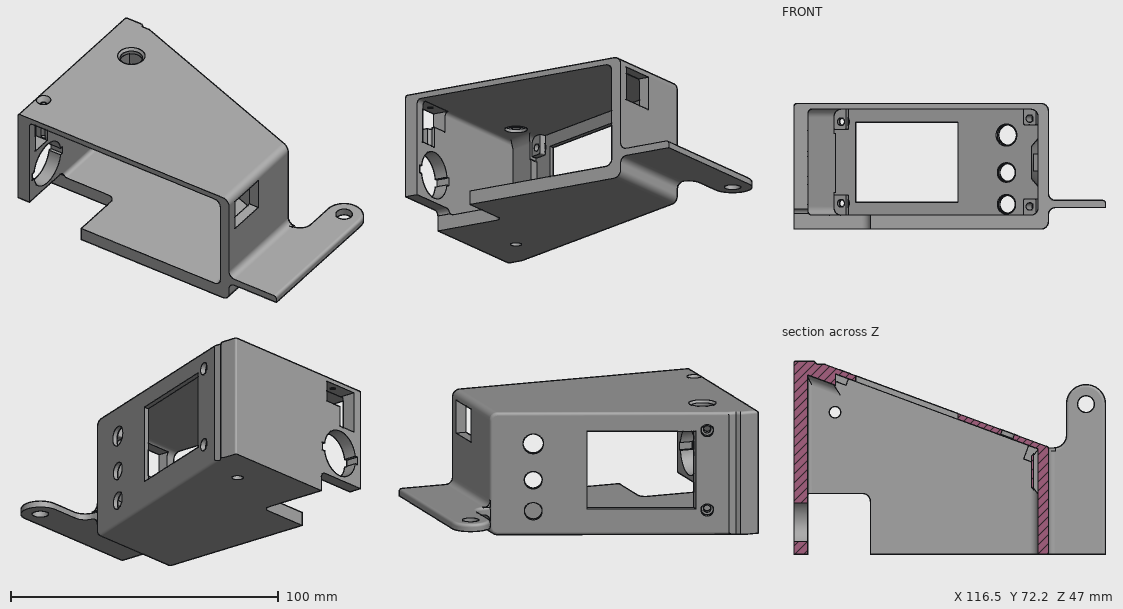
import cadquery as cq
import math

overlap = 1.2

length = 116.5
depth = 72.2
height = 47.0
body_length = 95.1

left_wall = 5.2
right_wall = 4.0
floor = 5.2
roof = 2.2
inner_right = body_length - right_wall
inner_top = height - roof

slope = 20.3
slope_start_x = 11.6
slope_start_y = 71.0
back_land_end = 7.5
back_step_end = 8.7
plate_thickness = 2.1
ledge_thickness = 6.0
sin_slope = math.sin(math.radians(slope))
cos_slope = math.cos(math.radians(slope))
tan_slope = math.tan(math.radians(slope))

edge_radius = 1.2
side_radius = 2.9
back_corner_radius = 0.7
inner_left_radius = 1.6
inner_right_radius = 2.7
ledge_fillet = 3.1

pocket_left = 15.0
pocket_rib_right = 15.6
pocket_rib_bottom, pocket_rib_top = 13.7, 35.8

window_left, window_right = 23.2, 61.3
window_bottom, window_top = 10.1, 40.0

lug_bottom = 8.0
lug_thickness = 2.8
lug_width = 14.7
lug_center_y = 56.1
lug_hole = 6.2
lug_root_radius = 2.6
lug_notch_radius = 4.7
lug_notch_y = 39.8

corner_cut_x = 28.5
corner_cut_y = 22.7
corner_cut_z = 7.6
corner_cut_floor_radius = 2.9
corner_cut_wall_radius = 2.0

switch_front, switch_back = 4.0, 19.6
switch_step_y = 12.0
switch_bottom, switch_step_z = 29.1, 36.9
access_bottom, access_top = 31.2, 43.9

socket_y, socket_z = 12.0, 18.2
socket_diameter = 17.9
keyway_span = 20.1
keyway_height = 3.0

screw_x, screw_y = 3.3, 12.3
screw_hole = 2.1
screw_head = 5.5
screw_bottom = 29.6

bolt_x, bolt_y = 15.4, 53.1
bolt_hole = 4.2
driver_hole = 8.4
driver_chamfer = 0.9

control_x = 79.4
controls = [(35.2, 7.6), (21.2, 6.6), (9.3, 6.6)]
control_chamfer = 0.3

standoff_corner_radius = 0.5
standoff_hole = 2.8
left_standoff_height = 2.6
left_standoff_right = 20.4
left_standoff_spans = [(floor - overlap, 12.8), (37.3, inner_top + overlap)]
left_hole_x = 17.6
left_hole_z = [9.7, 40.2]
left_counterbore = 4.7
right_standoff_height = 5.4
right_standoff_left = 87.7
right_standoff_spans = [(floor - overlap, 11.3), (39.0, inner_top + overlap)]
right_hole_x = 88.0
right_hole_z = [8.5, 41.3]
right_hole_depth = 6.5

anchor_y, anchor_z = 30.9, 24.9
anchor_base_radius = 8.9
anchor_top_radius = 6.0
anchor_height = 2.5
tie_slot_depth = 1.6
tie_slot_width = 6.4


def box(x0, x1, y0, y1, z0, z1):
    return cq.Workplane("XY").box(x1 - x0, y1 - y0, z1 - z0, centered=False).translate((x0, y0, z0))


def slope_y(x, inset=0.0):
    """Y of the sloped outer face at x, or of a parallel face the given distance inside it."""
    return slope_start_y - (x - slope_start_x) * tan_slope - inset / cos_slope


def plate_plane(x, z, inset):
    """Plane on a face parallel to the back; its normal points into the housing, its y axis up."""
    return cq.Plane(
        origin=(x, slope_y(x, inset), z),
        xDir=(cos_slope, -sin_slope, 0),
        normal=(-sin_slope, -cos_slope, 0),
    )


def outer_body():
    outline = (
        cq.Workplane("XY")
        .moveTo(0, 0)
        .lineTo(body_length, 0)
        .lineTo(body_length, slope_y(body_length))
        .lineTo(slope_start_x, slope_start_y)
        .lineTo(back_step_end, slope_start_y)
        .lineTo(back_land_end, depth)
        .lineTo(0, depth)
        .close()
    )
    body = outline.extrude(height)
    body = body.edges("|Z and <X and >Y").fillet(back_corner_radius)
    body = body.edges("|Y and >X").fillet(side_radius)
    return body.faces(">Z").edges("not(<Y or >X)").fillet(edge_radius)


def inner_section(left, left_radius):
    """Prism along Y with the rounded inner section of the housing, starting at the given left side."""
    section = box(left, inner_right, -overlap, depth, floor, inner_top)
    section = section.edges("|Y and <X").fillet(left_radius)
    return section.edges("|Y and >X").fillet(inner_right_radius)


def space_before_back(inset):
    """Space between floor and roof, from the open front to the given depth inside the outer back face."""
    return (
        cq.Workplane("XY")
        .workplane(offset=floor)
        .moveTo(-overlap, -2 * overlap)
        .lineTo(length, -2 * overlap)
        .lineTo(length, slope_y(length, inset))
        .lineTo(-overlap, slope_y(-overlap, inset))
        .close()
        .extrude(inner_top - floor)
    )


def cavity():
    main = space_before_back(ledge_thickness)
    back_face = cq.selectors.DirectionMinMaxSelector(cq.Vector(sin_slope, cos_slope, 0))
    main = main.faces(back_face).edges("not |Z").fillet(ledge_fillet)
    main = main.intersect(inner_section(left_wall, inner_left_radius))
    pocket = space_before_back(plate_thickness).intersect(inner_section(pocket_left, inner_right_radius))
    rib = box(0, pocket_rib_right, 0, depth, pocket_rib_bottom, pocket_rib_top)
    return main.union(pocket.cut(rib))


def standoff(x0, x1, z0, z1, rise):
    """Block square on the back plate between x0 and x1; it may run into the walls around the pocket."""
    plane = plate_plane((x0 + x1) / 2, (z0 + z1) / 2, plate_thickness)
    root_depth = plate_thickness / 2
    block = cq.Workplane("XY").box((x1 - x0) / cos_slope, z1 - z0, rise + root_depth, (True, True, False))
    block = block.edges("|Z").fillet(standoff_corner_radius).translate((0, 0, -root_depth))
    return cq.Workplane(block.val().moved(cq.Location(plane)))


def lug():
    center_x = length - lug_width / 2
    left = length - lug_width
    notch_x = left - lug_notch_radius
    notch_center_y = lug_notch_y + lug_notch_radius
    diagonal = lug_notch_radius * math.sqrt(0.5)
    blade = (
        cq.Workplane("XY")
        .workplane(offset=lug_bottom)
        .moveTo(inner_right + overlap, 0)
        .lineTo(length, 0)
        .lineTo(length, lug_center_y)
        .threePointArc((center_x, lug_center_y + lug_width / 2), (left, lug_center_y))
        .lineTo(left, notch_center_y)
        .threePointArc((notch_x + diagonal, notch_center_y - diagonal), (notch_x, lug_notch_y))
        .lineTo(inner_right + overlap, lug_notch_y)
        .close()
        .extrude(lug_thickness)
    )
    blade = blade.faces(">Z").edges("not(<Y or <X)").fillet(edge_radius)
    hole = cq.Workplane("XY").center(center_x, lug_center_y).circle(lug_hole / 2).extrude(height)
    return blade.cut(hole)


def lug_root(z, side):
    """Concave fillet between the right wall and the lug; side is 1 above the lug, -1 below."""
    r = lug_root_radius
    diagonal = r * (1 - math.sqrt(0.5))
    return (
        cq.Workplane("XZ", origin=(body_length, 0, z))
        .moveTo(-overlap, 0)
        .lineTo(r, 0)
        .threePointArc((diagonal, side * diagonal), (0, side * r))
        .lineTo(-overlap, side * r)
        .close()
        .extrude(-lug_notch_y)
    )


def corner_cut():
    floor_part = box(-overlap, corner_cut_x, -overlap, corner_cut_y, -overlap, floor + overlap / 2)
    floor_part = floor_part.edges("|Z and >X and >Y").fillet(corner_cut_floor_radius)
    wall_part = box(-overlap, left_wall + overlap, -overlap, corner_cut_y, -overlap, corner_cut_z)
    wall_part = wall_part.edges("|X and >Y and >Z").fillet(corner_cut_wall_radius)
    return floor_part.union(wall_part)


def switch_openings():
    x0, x1 = -overlap, left_wall + overlap
    upper = box(x0, x1, switch_front, switch_back, switch_step_z, inner_top)
    lower = box(x0, x1, switch_front, switch_step_y, switch_bottom, inner_top)
    access = box(
        inner_right - overlap, body_length + overlap, switch_front, switch_back, access_bottom, access_top
    )
    return upper.union(lower).union(access)


def socket():
    round_hole = (
        cq.Workplane("YZ", origin=(-overlap, socket_y, socket_z))
        .circle(socket_diameter / 2)
        .extrude(left_wall + 2 * overlap)
    )
    keyways = (
        cq.Workplane("YZ", origin=(-overlap, socket_y, socket_z))
        .rect(keyway_span, keyway_height)
        .extrude(left_wall + 2 * overlap)
    )
    return round_hole.union(keyways)


def vertical_hole(x, y, diameter, bottom, top):
    return cq.Workplane("XY", origin=(x, y, bottom)).circle(diameter / 2).extrude(top - bottom)


def vertical_cone(x, y, diameter, cone_depth):
    """Cone opening to the given diameter at the roof, its sides at 45 degrees."""
    return cq.Workplane(
        cq.Solid.makeCone(
            diameter / 2, diameter / 2 - cone_depth, cone_depth, cq.Vector(x, y, height), cq.Vector(0, 0, -1)
        )
    )


def roof_holes():
    screw = vertical_hole(screw_x, screw_y, screw_hole, screw_bottom, height)
    screw_sink = vertical_cone(screw_x, screw_y, screw_head, (screw_head - screw_hole) / 2)
    driver = vertical_hole(bolt_x, bolt_y, driver_hole, inner_top - overlap, height)
    driver_mouth = vertical_cone(bolt_x, bolt_y, driver_hole + 2 * driver_chamfer, driver_chamfer)
    bolt = vertical_hole(bolt_x, bolt_y, bolt_hole, -overlap, floor + overlap)
    return screw.union(screw_sink).union(driver).union(driver_mouth).union(bolt)


def normal_hole(x, z, diameter, inset, hole_depth):
    """Hole square to the back, running outwards from the given depth inside its outer face."""
    return cq.Workplane(plate_plane(x, z, inset)).circle(diameter / 2).extrude(-hole_depth)


def window():
    return box(window_left, window_right, slope_y(window_right, 2 * ledge_thickness), depth, window_bottom, window_top)


def control_hole(z, diameter):
    mouth_radius = diameter / 2 + control_chamfer
    mouth = cq.Solid.makeCone(mouth_radius, diameter / 2, control_chamfer, cq.Vector(0, 0, 0), cq.Vector(0, 0, -1))
    mouth = mouth.moved(cq.Location(plate_plane(control_x, z, plate_thickness)))
    return normal_hole(control_x, z, diameter, plate_thickness, 2 * plate_thickness).union(cq.Workplane(mouth))


def left_standoff_hole(z):
    """Through hole, counterbored from the outside over the thickness of the back plate."""
    inset = plate_thickness + left_standoff_height
    hole = normal_hole(left_hole_x, z, standoff_hole, inset, inset)
    counterbore_x = left_hole_x + left_standoff_height * sin_slope
    return hole.union(normal_hole(counterbore_x, z, left_counterbore, plate_thickness, 2 * plate_thickness))


def right_standoff_hole(z):
    return normal_hole(
        right_hole_x, z, standoff_hole, plate_thickness + right_standoff_height, right_hole_depth
    )


def tie_anchor():
    cone = cq.Workplane(
        cq.Solid.makeCone(
            anchor_base_radius,
            anchor_top_radius,
            anchor_height,
            cq.Vector(inner_right, anchor_y, anchor_z),
            cq.Vector(-1, 0, 0),
        )
    )
    slot = box(
        inner_right - tie_slot_depth,
        inner_right,
        anchor_y - anchor_base_radius,
        anchor_y + anchor_base_radius,
        anchor_z - tie_slot_width / 2,
        anchor_z + tie_slot_width / 2,
    )
    return cone.cut(slot)


result = outer_body().cut(cavity())
for low, high in left_standoff_spans:
    left_block = standoff(pocket_left, left_standoff_right, low, high, left_standoff_height)
    result = result.union(left_block)
for low, high in right_standoff_spans:
    right_block = standoff(right_standoff_left, inner_right + overlap, low, high, right_standoff_height)
    result = result.union(right_block)
for hole_z in left_hole_z:
    result = result.cut(left_standoff_hole(hole_z))
for hole_z in right_hole_z:
    result = result.cut(right_standoff_hole(hole_z))
result = result.cut(window())
for control_z, control_diameter in controls:
    result = result.cut(control_hole(control_z, control_diameter))
result = result.cut(corner_cut()).cut(switch_openings()).cut(socket()).cut(roof_holes())
result = result.union(tie_anchor())
result = result.union(lug())
result = result.union(lug_root(lug_bottom + lug_thickness, 1)).union(lug_root(lug_bottom, -1))